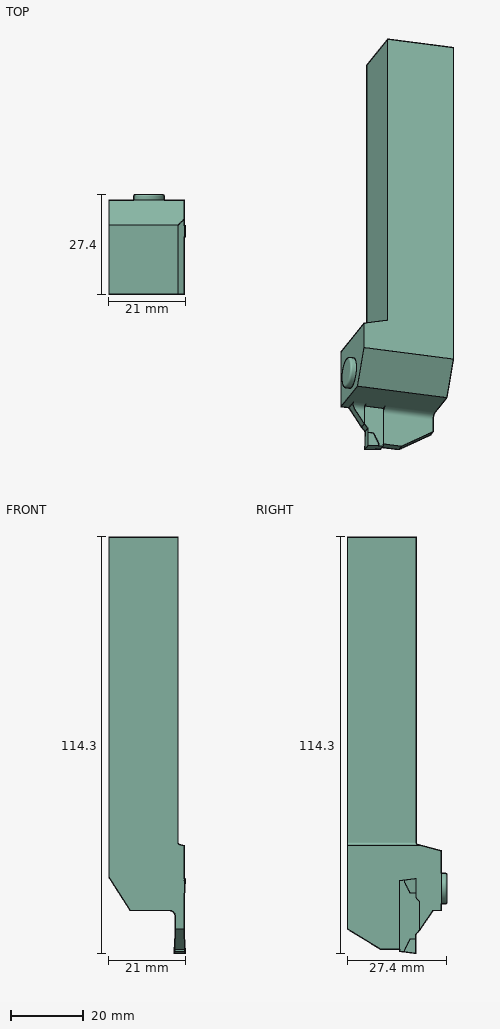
import cadquery as cq
import math

LENGTH = 114.3
SHANK = 19.0
HEAD_WIDTH = 20.7
HEAD_DEPTH = 25.8
SHOULDER_Z = 30.1
SHOULDER_SLOPE = math.tan(math.radians(15))
SHOULDER_FILLET = 0.5
HEAD_BOTTOM_Z = 11.8
BEVEL_WIDTH = 5.8
BEVEL_TOP_Z = 20.9

BLADE_THICKNESS = 2.5
BLADE_X = HEAD_WIDTH - BLADE_THICKNESS
BLADE_FILLET = 1.6
BLADE_BOTTOM_Z = 1.1
BLADE_FRONT_Z = 6.7
BLADE_BEVEL_Y = 9.1
JAW_BOTTOM_Z = 6.4
JAW_ROOT_Y = 23.5

BOSS_DIAMETER = 8.5
BOSS_HEIGHT = 1.6
BOSS_X = 11.0
BOSS_Z = 17.8
BOSS_ROUND = 0.6

INSERT_LENGTH = 20.6
INSERT_MID_Z = INSERT_LENGTH / 2
INSERT_FRONT_Y = 14.4
INSERT_BACK_Y = 19.9
EDGE_Y = 18.9
RAKE_START_Z = 5.3
RAKE_END_Z = 6.4
RELIEF_RISE = 0.6
TIP_OVERHANG = 0.3
TIP_ROOT_OVERHANG = 0.1
TIP_LENGTH = 4.0
TIP_ROOT_Y = 17.3
TIP_TOE_Y = 15.8
TIP_TOE_Z = 1.0
TIP_CORNER = 0.2


def prism_along_x(points, start, length):
    """Extrude a (Y, Z) outline in the +X direction."""
    return cq.Workplane("YZ", origin=(start, 0, 0)).polyline(points).close().extrude(length)


def prism_along_y(points, start, length):
    """Extrude an (X, Z) outline in the +Y direction."""
    return cq.Workplane("XZ", origin=(0, start, 0)).polyline(points).close().extrude(-length)


def edge_at(body, direction, point):
    """Select the edge parallel to direction that lies nearest to point."""
    return body.edges(direction).edges(cq.selectors.NearestToPointSelector(point))


def front_prism():
    """Holder outline across its width."""
    shoulder_end_z = SHOULDER_Z - (HEAD_WIDTH - SHANK) * SHOULDER_SLOPE
    body = prism_along_y([
        (0, LENGTH),
        (SHANK, LENGTH),
        (SHANK, SHOULDER_Z),
        (HEAD_WIDTH, shoulder_end_z),
        (HEAD_WIDTH, 0),
        (BLADE_X, 0),
        (BLADE_X, HEAD_BOTTOM_Z),
        (BEVEL_WIDTH, HEAD_BOTTOM_Z),
        (0, BEVEL_TOP_Z),
    ], 0, HEAD_DEPTH)
    middle_y = HEAD_DEPTH / 2
    body = edge_at(body, "|Y", (SHANK, middle_y, SHOULDER_Z)).fillet(SHOULDER_FILLET)
    return edge_at(body, "|Y", (BLADE_X, middle_y, HEAD_BOTTOM_Z)).fillet(BLADE_FILLET)


def side_prism():
    """Holder outline across its depth, with the insert seat left open below."""
    shoulder_end_z = SHOULDER_Z - (HEAD_DEPTH - SHANK) * SHOULDER_SLOPE
    body = prism_along_x([
        (0, LENGTH),
        (SHANK, LENGTH),
        (SHANK, SHOULDER_Z),
        (HEAD_DEPTH, shoulder_end_z),
        (HEAD_DEPTH, HEAD_BOTTOM_Z),
        (JAW_ROOT_Y, HEAD_BOTTOM_Z),
        (INSERT_BACK_Y, JAW_BOTTOM_Z),
        (INSERT_FRONT_Y, JAW_BOTTOM_Z),
        (INSERT_FRONT_Y, BLADE_BOTTOM_Z),
        (BLADE_BEVEL_Y, BLADE_BOTTOM_Z),
        (0, BLADE_FRONT_Z),
    ], 0, HEAD_WIDTH)
    return edge_at(body, "|X", (HEAD_WIDTH / 2, SHANK, SHOULDER_Z)).fillet(SHOULDER_FILLET)


def make_boss():
    """Round boss standing on the back of the head."""
    plane = cq.Workplane("XZ", origin=(BOSS_X, HEAD_DEPTH, BOSS_Z))
    return plane.circle(BOSS_DIAMETER / 2).extrude(-BOSS_HEIGHT).faces(">Y").edges().fillet(BOSS_ROUND)


def insert_tip():
    """Lower cutting tip, widest at the cutting edge."""
    toe_bottom_z = RELIEF_RISE * (EDGE_Y - TIP_TOE_Y) / (EDGE_Y - INSERT_FRONT_Y)
    profile = prism_along_x([
        (EDGE_Y, 0),
        (EDGE_Y, TIP_LENGTH),
        (TIP_ROOT_Y, TIP_LENGTH),
        (TIP_TOE_Y, TIP_TOE_Z),
        (TIP_TOE_Y, toe_bottom_z),
    ], BLADE_X - TIP_OVERHANG, BLADE_THICKNESS + 2 * TIP_OVERHANG)
    taper = prism_along_y([
        (BLADE_X - TIP_OVERHANG, 0),
        (HEAD_WIDTH + TIP_OVERHANG, 0),
        (HEAD_WIDTH + TIP_ROOT_OVERHANG, TIP_LENGTH),
        (BLADE_X - TIP_ROOT_OVERHANG, TIP_LENGTH),
    ], INSERT_FRONT_Y, EDGE_Y - INSERT_FRONT_Y)
    corners = taper.faces("<Z").edges("|Y")
    return profile.intersect(corners.fillet(TIP_CORNER))


def make_insert():
    """Insert made of a lower half and its mirror image."""
    shank_half = prism_along_x([
        (EDGE_Y, 0),
        (EDGE_Y, RAKE_START_Z),
        (INSERT_BACK_Y, RAKE_END_Z),
        (INSERT_BACK_Y, INSERT_MID_Z),
        (INSERT_FRONT_Y, INSERT_MID_Z),
        (INSERT_FRONT_Y, RELIEF_RISE),
    ], BLADE_X, BLADE_THICKNESS)
    half = shank_half.union(insert_tip())
    return half.union(half.mirror("XY", (0, 0, INSERT_MID_Z))).clean()


def seat_clearance():
    """Gap in the blade's root fillet that lets the insert slide past it."""
    return cq.Workplane("XY").box(
        BLADE_FILLET, INSERT_BACK_Y - INSERT_FRONT_Y, BLADE_FILLET, centered=False
    ).translate((BLADE_X - BLADE_FILLET, INSERT_FRONT_Y, HEAD_BOTTOM_Z - BLADE_FILLET))


def make_holder(insert):
    """Shank, head and blade with a boss and a pocket matching the insert."""
    body = front_prism().intersect(side_prism()).cut(seat_clearance())
    return body.union(make_boss()).cut(insert)


insert = make_insert()
holder = make_holder(insert)

result = cq.Compound.makeCompound([holder.solids().val(), insert.solids().val()])